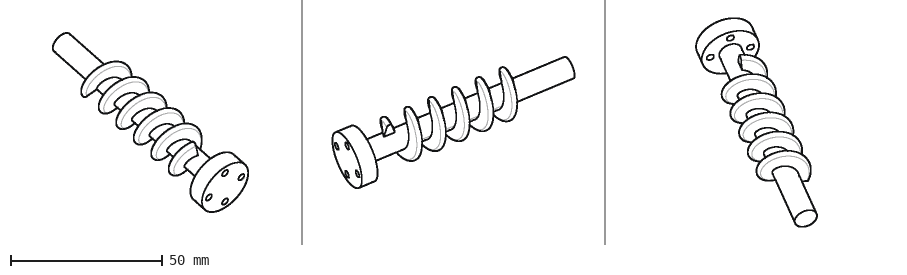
import cadquery as cq
import math

total_length = 84.0
shaft_radius = 3.9

flange_radius = 10.0
flange_thickness = 6.0
flange_start = total_length - flange_thickness
hole_count = 4
hole_circle_radius = 7.0
hole_diameter = 2.5

flight_start = 20.0
flight_length = 48.0
flight_pitch = 9.0
flight_start_angle = 30.0
flight_outer_radius = 8.7
tip_half_width = 1.0
tip_height = 1.0
tip_base_radius = flight_outer_radius - tip_height
root_half_width = 2.1
root_overlap = 0.5


def make_shaft():
    return cq.Workplane("YZ").circle(shaft_radius).extrude(total_length)


def make_flange():
    flange = cq.Workplane("YZ", origin=(flange_start, 0, 0)).circle(flange_radius).extrude(flange_thickness)
    holes = (
        cq.Workplane("YZ", origin=(flange_start, 0, 0))
        .polarArray(hole_circle_radius, 0, 360, hole_count)
        .circle(hole_diameter / 2)
        .extrude(flange_thickness)
    )
    return flange.cut(holes)


def make_flight():
    """Sweep a tapered, round-tipped profile along a helix about local Z, then lay it along X."""
    flank_slope = (root_half_width - tip_half_width) / (tip_base_radius - shaft_radius)
    inner_radius = shaft_radius - root_overlap
    inner_half_width = root_half_width + flank_slope * root_overlap
    profile = (
        cq.Workplane("XZ")
        .moveTo(inner_radius, -inner_half_width)
        .lineTo(tip_base_radius, -tip_half_width)
        .threePointArc((flight_outer_radius, 0), (tip_base_radius, tip_half_width))
        .lineTo(inner_radius, inner_half_width)
        .close()
    )
    helix = cq.Wire.makeHelix(flight_pitch, flight_length, shaft_radius, lefthand=True)
    flight = profile.sweep(cq.Workplane(helix), isFrenet=True).val()

    angle = math.radians(flight_start_angle)
    start_direction = (0, -math.cos(angle), -math.sin(angle))
    flight_plane = cq.Plane(origin=(flight_start, 0, 0), xDir=start_direction, normal=(1, 0, 0))
    return flight.moved(cq.Location(flight_plane))


result = make_shaft().union(make_flight()).union(make_flange())